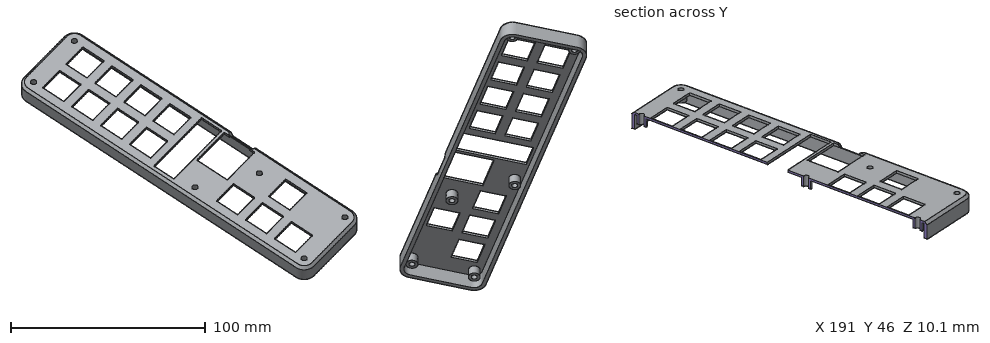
import cadquery as cq

length = 191.0
width = 46.0
height = 10.1
corner_radius = 6.5
top_chamfer = 1.5
wall = 2.1
plate_thickness = 1.5
cavity_height = height - plate_thickness

key_pitch = 19.1
key_size = 14.0
upper_key_columns = (-4, -3, -2, -1, 3)
lower_key_columns = (-4, -3, -2, -1, 2, 3, 4)

slot_width = 13.2
slot_length = 39.2
slot_x = -1.1
slot_y = 0.2

window_width = 20.0
window_length = 22.5
window_x = 17.2
window_y = 8.5
notch_width = 13.2
notch_depth = 2.3

screw_diameter = 3.0
boss_diameter = 6.1
boss_height = 5.0
screw_inset = 6.3
corner_screw_x = length / 2 - screw_inset
corner_screw_y = width / 2 - screw_inset
inner_screw_x = 37.5
inner_screw_y = 10.9
screw_points = [(sx * corner_screw_x, sy * corner_screw_y) for sx in (-1, 1) for sy in (-1, 1)]
screw_points += [(window_x, -corner_screw_y), (inner_screw_x, inner_screw_y)]


def rounded_block(size_x, size_y, size_z, radius):
    """Block standing on Z = 0 with rounded vertical edges."""
    block = cq.Workplane("XY").box(size_x, size_y, size_z, centered=(True, True, False))
    return block.edges("|Z").fillet(radius)


def shell():
    """Chamfered outer body with the cavity removed from below."""
    body = rounded_block(length, width, height, corner_radius).faces(">Z").edges().chamfer(top_chamfer)
    cavity = rounded_block(length - 2 * wall, width - 2 * wall, cavity_height, corner_radius - wall)
    return body.cut(cavity)


def plate_opening(size_x, size_y, points):
    """Rectangular cutters passing through the top plate at each point."""
    plate_underside = cq.Workplane("XY").workplane(offset=cavity_height)
    return plate_underside.pushPoints(points).rect(size_x, size_y).extrude(plate_thickness)


def key_openings():
    """Cutters for the two rows of keys."""
    points = [(column * key_pitch, key_pitch / 2) for column in upper_key_columns]
    points += [(column * key_pitch, -key_pitch / 2) for column in lower_key_columns]
    return plate_opening(key_size, key_size, points)


def connector_notch():
    """Notch across the top of the back wall, with the back chamfer carried down to the notch floor.

    The lowered chamfer is bounded at each end by a side leaning 45 degrees away from it.
    """
    back = width / 2
    window_edge = window_y + window_length / 2
    floor_z = height - notch_depth
    level_start = cq.Workplane("XY", origin=(window_x, window_edge, floor_z))
    level_cut = level_start.box(notch_width, back - window_edge, notch_depth, centered=(True, False, False))

    half = notch_width / 2
    reach = notch_depth + top_chamfer
    chamfer_edge = (window_x, back - top_chamfer, floor_z)
    chamfer_section = cq.Plane(origin=chamfer_edge, xDir=(1, 0, 0), normal=(0, -1, 1))
    lowered_chamfer = (
        cq.Workplane(chamfer_section)
        .polyline([(-half, 0), (half, 0), (half + reach, reach), (-half - reach, reach)])
        .close()
        .extrude(reach, both=True)
    )
    return level_cut.union(lowered_chamfer)


def screw_cylinders(diameter, bottom, top):
    """Upright cylinders at every screw position."""
    base = cq.Workplane("XY").workplane(offset=bottom)
    return base.pushPoints(screw_points).circle(diameter / 2).extrude(top - bottom)


result = (
    shell()
    .union(screw_cylinders(boss_diameter, cavity_height - boss_height, cavity_height))
    .cut(key_openings())
    .cut(plate_opening(slot_width, slot_length, [(slot_x, slot_y)]))
    .cut(plate_opening(window_width, window_length, [(window_x, window_y)]))
    .cut(connector_notch())
    .cut(screw_cylinders(screw_diameter, 0, height))
)